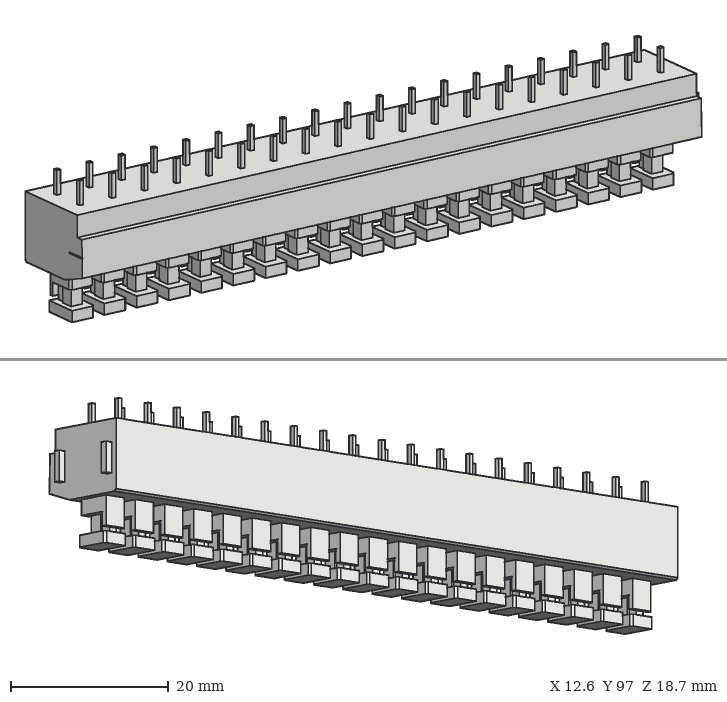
import cadquery as cq

TOTAL_LENGTH = 97.0
WIDTH = 12.6
TOTAL_HEIGHT = 18.7

POLE_COUNT = 19
POLE_SPAN = 90.0
PITCH = POLE_SPAN / (POLE_COUNT - 1)
FIRST_POLE_Y = 2.7

PIN_HEIGHT = 3.3
PIN_SIZE_X = 0.7
PIN_SIZE_Y = 0.6
FIRST_PIN_X = 3.2
PIN_ROWS_X = (FIRST_PIN_X, FIRST_PIN_X + PITCH)

PEG_LENGTH = 1.0
PEG_WIDTH = 0.9
PEG_HEIGHT = 4.0
PEG_CENTERS_X = (1.3, 10.1)

BODY_LENGTH = TOTAL_LENGTH - PEG_LENGTH
BODY_HEIGHT = 9.4
NOTCH_DEPTH = 1.2
NOTCH_HEIGHT = 3.0
LEDGE_Z = BODY_HEIGHT - NOTCH_HEIGHT
WALL_TAPER = 0.15
BEVEL_WIDTH = 3.8
BEVEL_HEIGHT = 1.3
CORNER_CHAMFER = 0.3

GROOVE_LENGTH = 2.9
GROOVE_HEIGHT = 0.1
GROOVE_DEPTH = 0.1
GROOVE_Z = 3.9

GUIDE_X = 3.0
GUIDE_SIZE_X = 4.7
GUIDE_SIZE_Y = 3.4
GUIDE_HEIGHT = 2.0
GUIDE_CHAMFER = 0.3
GUIDE_OFFSET_Y = 0.6
SKIRT_THICKNESS = 0.8
SKIRT_HEIGHT = 3.9

PLUNGER_OFFSET_Y = 0.3
HEAD_X = 3.5
HEAD_SIZE_X = 5.0
HEAD_SIZE_Y = 3.5
HEAD_HEIGHT = 1.6
HEAD_CHAMFER = 0.3
RIB_X = 3.9
RIB_SIZE_X = 1.4
RIB_SIZE_Y = 1.2
STEM_X = RIB_X + RIB_SIZE_X
STEM_SIZE_X = 1.8
STEM_SIZE_Y = 1.7
STEM_HEIGHT = TOTAL_HEIGHT - PIN_HEIGHT - BODY_HEIGHT - HEAD_HEIGHT


def block(x_start, y_center, z_start, size_x, size_y, size_z):
    """Box starting at x_start and z_start, centered on y_center."""
    solid = cq.Workplane("XY").box(size_x, size_y, size_z, centered=(False, True, False))
    return solid.translate((x_start, y_center, z_start))


def make_housing():
    outline = [
        (CORNER_CHAMFER, 0),
        (WIDTH - BEVEL_WIDTH, 0),
        (WIDTH, BEVEL_HEIGHT),
        (WIDTH - WALL_TAPER, LEDGE_Z),
        (WIDTH - NOTCH_DEPTH, LEDGE_Z),
        (WIDTH - NOTCH_DEPTH, BODY_HEIGHT),
        (0, BODY_HEIGHT),
        (0, CORNER_CHAMFER),
    ]
    body = cq.Workplane("XZ").polyline(outline).close().extrude(-BODY_LENGTH)
    groove = block(
        WIDTH - GROOVE_LENGTH, GROOVE_DEPTH / 2, GROOVE_Z - GROOVE_HEIGHT / 2,
        GROOVE_LENGTH, GROOVE_DEPTH, GROOVE_HEIGHT,
    )
    return body.cut(groove)


def make_peg(x):
    peg_y = BODY_LENGTH + PEG_LENGTH / 2
    return block(x - PEG_WIDTH / 2, peg_y, LEDGE_Z - PEG_HEIGHT, PEG_WIDTH, PEG_LENGTH, PEG_HEIGHT)


def make_pin(x):
    return block(x - PIN_SIZE_X / 2, 0, BODY_HEIGHT, PIN_SIZE_X, PIN_SIZE_Y, PIN_HEIGHT)


def make_guide():
    """Block with a longer skirt, chamfered along the upright edges of its -Y side."""
    guide = block(GUIDE_X, GUIDE_OFFSET_Y, -SKIRT_HEIGHT, GUIDE_SIZE_X, GUIDE_SIZE_Y, SKIRT_HEIGHT)
    guide = guide.faces("<Y").edges("|Z").chamfer(GUIDE_CHAMFER)
    space_beside_skirt = block(
        GUIDE_X + SKIRT_THICKNESS, GUIDE_OFFSET_Y, -SKIRT_HEIGHT,
        GUIDE_SIZE_X, GUIDE_SIZE_Y, SKIRT_HEIGHT - GUIDE_HEIGHT,
    )
    return guide.cut(space_beside_skirt)


def make_plunger():
    rib = block(RIB_X, PLUNGER_OFFSET_Y, -STEM_HEIGHT, RIB_SIZE_X, RIB_SIZE_Y, STEM_HEIGHT)
    stem = block(STEM_X, PLUNGER_OFFSET_Y, -STEM_HEIGHT, STEM_SIZE_X, STEM_SIZE_Y, STEM_HEIGHT)
    head_z = -STEM_HEIGHT - HEAD_HEIGHT
    head = block(HEAD_X, PLUNGER_OFFSET_Y, head_z, HEAD_SIZE_X, HEAD_SIZE_Y, HEAD_HEIGHT)
    head = head.faces(">Y").edges("|Z").chamfer(HEAD_CHAMFER)
    return stem.union(rib).union(head)


def make_pole():
    """Everything that repeats at each pole, with the pins at Y = 0."""
    pole = make_guide().union(make_plunger())
    for pin_x in PIN_ROWS_X:
        pole = pole.union(make_pin(pin_x))
    return pole


result = make_housing()
for peg_x in PEG_CENTERS_X:
    result = result.union(make_peg(peg_x))

single_pole = make_pole()
for index in range(POLE_COUNT):
    result = result.union(single_pole.translate((0, FIRST_POLE_Y + index * PITCH, 0)))